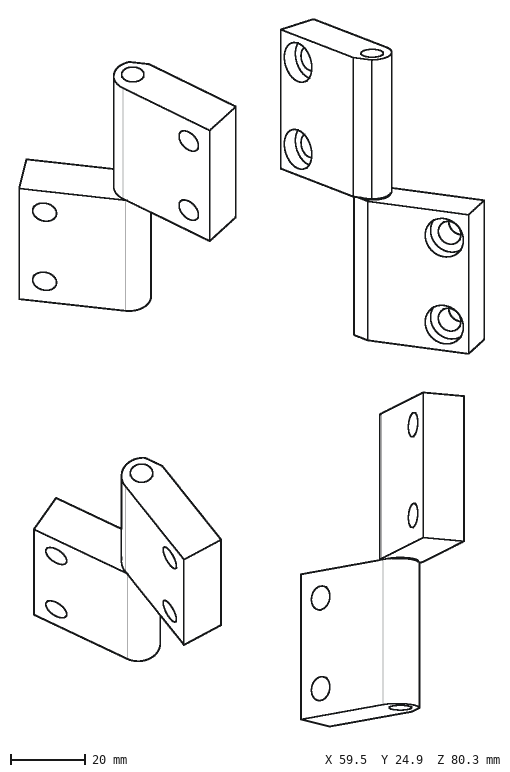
import cadquery as cq
import math

leaf_reach = 30.0
leaf_thickness = 12.0
leaf_height = 40.0
knuckle_offset = 1.05
pin_hole_diameter = 6.0
fold_angle = 26.8

screw_hole_diameter = 6.5
counterbore_diameter = 11.0
counterbore_depth = 4.0
screw_hole_end_distance = 7.0
screw_hole_spacing = 25.0

total_height = 80.3
washer_outer_diameter = 9.8
washer_inner_diameter = 6.2
washer_thickness = total_height - 2 * leaf_height

knuckle_radius = leaf_thickness / 2


def knuckle_point(angle_from_back):
    """Point on the knuckle arc, measured from its back (+Y) point towards -X."""
    angle = math.radians(angle_from_back)
    return (knuckle_offset - knuckle_radius * math.sin(angle), knuckle_radius * math.cos(angle))


def leaf_plate():
    """Plate along +X with a round knuckle, whose back is cut by a flat at the fold angle."""
    flat_end_angle = 2 * fold_angle
    front_angle = 180
    outline = (
        cq.Workplane("XY")
        .moveTo(leaf_reach, -knuckle_radius)
        .lineTo(leaf_reach, knuckle_radius)
        .lineTo(*knuckle_point(0))
        .lineTo(*knuckle_point(flat_end_angle))
        .threePointArc(knuckle_point((flat_end_angle + front_angle) / 2), knuckle_point(front_angle))
        .close()
    )
    pin_hole = cq.Workplane("XY").circle(pin_hole_diameter / 2).extrude(leaf_height)
    return outline.extrude(leaf_height).cut(pin_hole)


def make_leaf():
    """Leaf standing on Z = 0, with two screw holes counterbored from the back (+Y) face."""
    hole_x = leaf_reach - screw_hole_end_distance
    hole_heights = [leaf_height / 2 + side * screw_hole_spacing / 2 for side in (-1, 1)]
    hole_centres = (
        cq.Workplane("XZ", origin=(0, knuckle_radius, 0))
        .pushPoints([(hole_x, height) for height in hole_heights])
    )
    screw_holes = hole_centres.circle(screw_hole_diameter / 2).extrude(leaf_thickness)
    counterbores = hole_centres.circle(counterbore_diameter / 2).extrude(counterbore_depth)
    return leaf_plate().cut(screw_holes).cut(counterbores).solids()


def make_washer():
    """Flat ring that rests on the lower leaf and carries the upper leaf."""
    return (
        cq.Workplane("XY", origin=(0, 0, leaf_height))
        .circle(washer_outer_diameter / 2)
        .circle(washer_inner_diameter / 2)
        .extrude(washer_thickness)
    )


lower_leaf = make_leaf().val().mirror("YZ").rotate((0, 0, 0), (0, 0, 1), fold_angle)
upper_leaf = make_leaf().val().translate((0, 0, leaf_height + washer_thickness))
washer = make_washer()

result = cq.Compound.makeCompound([lower_leaf, upper_leaf, washer.val()])